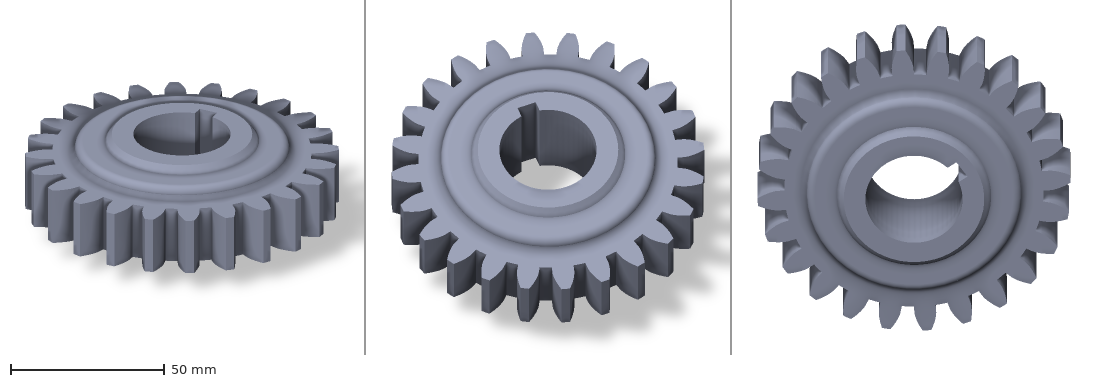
import cadquery as cq
import math

TOOTH_COUNT = 24
OUTER_RADIUS = 51.2
PRESSURE_ANGLE = math.radians(20)
DEDENDUM_FACTOR = 1.25
FLANK_STEPS = 8

MODULE = 2 * OUTER_RADIUS / (TOOTH_COUNT + 2)
PITCH_RADIUS = MODULE * TOOTH_COUNT / 2
BASE_RADIUS = PITCH_RADIUS * math.cos(PRESSURE_ANGLE)
ROOT_RADIUS = PITCH_RADIUS - DEDENDUM_FACTOR * MODULE

TOTAL_HEIGHT = 31.7
DISC_HEIGHT = 26.8
RIM_HEIGHT = 19.0

HUB_TOP_RADIUS = 22.9
HUB_BASE_RADIUS = 25.2
DISC_FACE_RADIUS = 32.4
EDGE_ROUND = 2.6
FOOT_RADIUS = 37.0
FOOT_FILLET = 2.0
UPPER_FOOT_HEIGHT = 1.3
LOWER_FOOT_HEIGHT = 1.9

BORE_RADIUS = 15.9
KEYWAY_WIDTH = 6.3
KEYWAY_TOP = 19.0


def polar(radius, angle):
    return (radius * math.cos(angle), radius * math.sin(angle))


def involute(pressure_angle):
    return math.tan(pressure_angle) - pressure_angle


def half_tooth_angle(radius):
    """Half the angle that a tooth spans at a radius on its involute flank."""
    at_pitch = math.pi / (2 * TOOTH_COUNT)
    return at_pitch + involute(PRESSURE_ANGLE) - involute(math.acos(BASE_RADIUS / radius))


def toothed_rim():
    """Rim with involute teeth; below the base circle the flanks run parallel to the tooth."""
    pitch_angle = 2 * math.pi / TOOTH_COUNT
    flank_step = (OUTER_RADIUS - BASE_RADIUS) / FLANK_STEPS
    radii = [BASE_RADIUS + i * flank_step for i in range(FLANK_STEPS + 1)]
    half_base_width = BASE_RADIUS * math.sin(half_tooth_angle(BASE_RADIUS))
    half_root_angle = math.asin(half_base_width / ROOT_RADIUS)

    rim_bottom = cq.Workplane("XY").workplane(offset=-RIM_HEIGHT / 2)
    outline = rim_bottom.moveTo(*polar(ROOT_RADIUS, -half_root_angle))
    for tooth in range(TOOTH_COUNT):
        centre = tooth * pitch_angle
        rising = [polar(r, centre - half_tooth_angle(r)) for r in radii]
        falling = [polar(r, centre + half_tooth_angle(r)) for r in reversed(radii)]
        gap_middle = polar(ROOT_RADIUS, centre + pitch_angle / 2)
        next_root = polar(ROOT_RADIUS, centre + pitch_angle - half_root_angle)
        outline = (
            outline.lineTo(*rising[0])
            .spline(rising[1:], includeCurrent=True)
            .threePointArc(polar(OUTER_RADIUS, centre), falling[0])
            .spline(falling[1:], includeCurrent=True)
            .lineTo(*polar(ROOT_RADIUS, centre + half_root_angle))
            .threePointArc(gap_middle, next_root)
        )
    return outline.close().extrude(RIM_HEIGHT)


def hub_half(foot_height):
    """Half of the hub above Z = 0: rounded disc with a conical boss, revolved about Z."""
    disc_top = DISC_HEIGHT / 2
    rim_top = RIM_HEIGHT / 2
    join_height = rim_top + foot_height
    height_on_round = join_height - (disc_top - EDGE_ROUND)
    join_radius = DISC_FACE_RADIUS + math.sqrt(EDGE_ROUND**2 - height_on_round**2)
    return (
        cq.Workplane("XZ")
        .lineTo(FOOT_RADIUS, 0)
        .lineTo(FOOT_RADIUS, rim_top)
        .radiusArc((join_radius, join_height), FOOT_FILLET)
        .radiusArc((DISC_FACE_RADIUS, disc_top), -EDGE_ROUND)
        .lineTo(HUB_BASE_RADIUS, disc_top)
        .lineTo(HUB_TOP_RADIUS, TOTAL_HEIGHT / 2)
        .lineTo(0, TOTAL_HEIGHT / 2)
        .close()
        .revolve(360, (0, 0, 0), (0, 1, 0))
    )


def bore_with_keyway():
    bottom = cq.Workplane("XY").workplane(offset=-TOTAL_HEIGHT / 2)
    bore = bottom.circle(BORE_RADIUS).extrude(TOTAL_HEIGHT)
    keyway = bottom.center(0, KEYWAY_TOP / 2).rect(KEYWAY_WIDTH, KEYWAY_TOP).extrude(TOTAL_HEIGHT)
    return bore.union(keyway)


upper_hub = hub_half(UPPER_FOOT_HEIGHT)
lower_hub = hub_half(LOWER_FOOT_HEIGHT).mirror("XY")
result = toothed_rim().union(upper_hub).union(lower_hub).cut(bore_with_keyway())